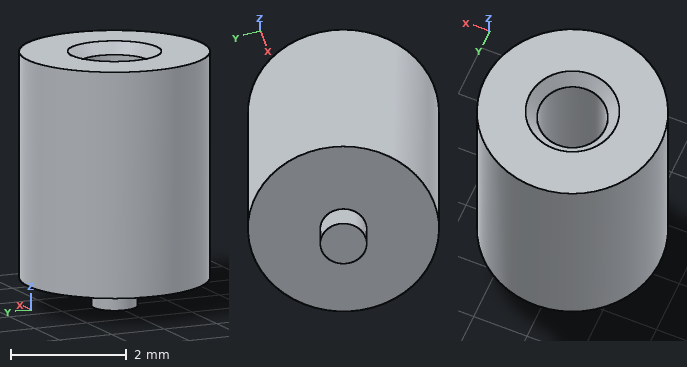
import cadquery as cq
import math

total_height = 4.5
body_diameter = 3.3
pin_diameter = 0.8
pin_length = 0.5

hole_diameter = 1.22
hole_depth = 3.0
drill_point_angle = 118.0
countersink_diameter = 1.62

hole_radius = hole_diameter / 2
countersink_radius = countersink_diameter / 2
countersink_depth = countersink_radius - hole_radius
drill_point_depth = hole_radius / math.tan(math.radians(drill_point_angle / 2))


def make_body():
    """Cylinder with a centred pin below it; the pin ends at Z = 0."""
    body_height = total_height - pin_length
    pin = cq.Workplane("XY").circle(pin_diameter / 2).extrude(pin_length)
    return pin.faces(">Z").workplane().circle(body_diameter / 2).extrude(body_height)


def make_hole():
    """Revolved hole profile, in radius and height, opening at the top face."""
    wall_bottom = total_height - hole_depth
    return (
        cq.Workplane("XZ")
        .moveTo(0, total_height)
        .lineTo(countersink_radius, total_height)
        .lineTo(hole_radius, total_height - countersink_depth)
        .lineTo(hole_radius, wall_bottom)
        .lineTo(0, wall_bottom - drill_point_depth)
        .close()
        .revolve(360, (0, 0), (0, 1))
    )


result = make_body().cut(make_hole())